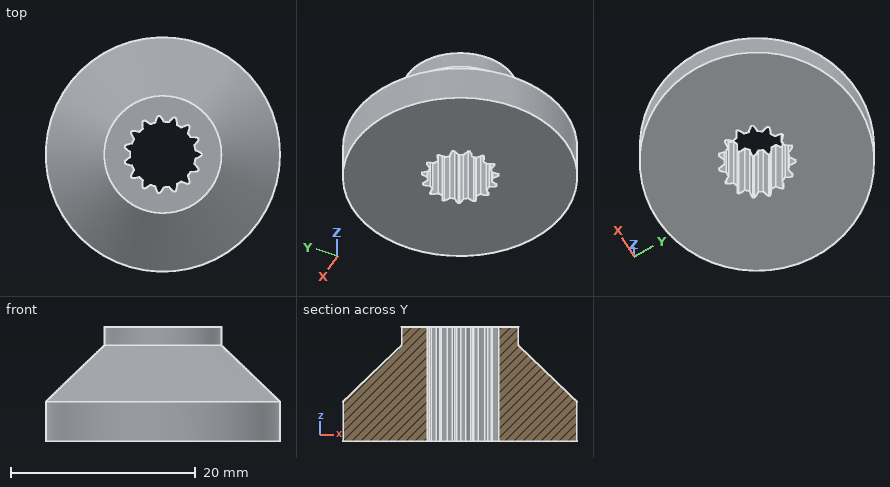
import cadquery as cq
import math

base_diameter = 25.4
hub_diameter = base_diameter / 2
total_height = 12.4
base_height = 4.3
hub_height = 2.0

groove_count = 15
bore_radius = 3.53
groove_root_radius = 4.2
groove_mouth_width = 0.91
groove_mid_width = 0.64
groove_root_width = 0.2
groove_mid_radius = (bore_radius + groove_root_radius) / 2


def turned_body():
    """Cylindrical base, conical shoulder and cylindrical hub revolved about Z."""
    base_radius = base_diameter / 2
    hub_radius = hub_diameter / 2
    return (
        cq.Workplane("XZ")
        .lineTo(base_radius, 0)
        .lineTo(base_radius, base_height)
        .lineTo(hub_radius, total_height - hub_height)
        .lineTo(hub_radius, total_height)
        .lineTo(0, total_height)
        .close()
        .revolve(360, (0, 0), (0, 1))
    )


def point_on_circle(radius, offset):
    """Point on a circle about the origin, at a sideways offset from the X axis."""
    return (math.sqrt(radius**2 - offset**2), offset)


def spline_groove():
    """One groove along +X with bowed flanks and a narrow, rounded root."""
    mouth = point_on_circle(bore_radius, groove_mouth_width / 2)
    middle = point_on_circle(groove_mid_radius, groove_mid_width / 2)
    root = point_on_circle(groove_root_radius, groove_root_width / 2)
    return (
        cq.Workplane("XY")
        .moveTo(mouth[0], -mouth[1])
        .threePointArc((middle[0], -middle[1]), (root[0], -root[1]))
        .threePointArc((groove_root_radius, 0), root)
        .threePointArc(middle, mouth)
        .lineTo(0, 0)
        .close()
        .extrude(total_height)
    )


def splined_bore():
    """Through bore with evenly spaced grooves, the first one on +X."""
    bore = cq.Workplane("XY").circle(bore_radius).extrude(total_height)
    groove = spline_groove()
    for index in range(groove_count):
        angle = index * 360 / groove_count
        bore = bore.union(groove.rotate((0, 0, 0), (0, 0, 1), angle))
    return bore


result = turned_body().cut(splined_bore())